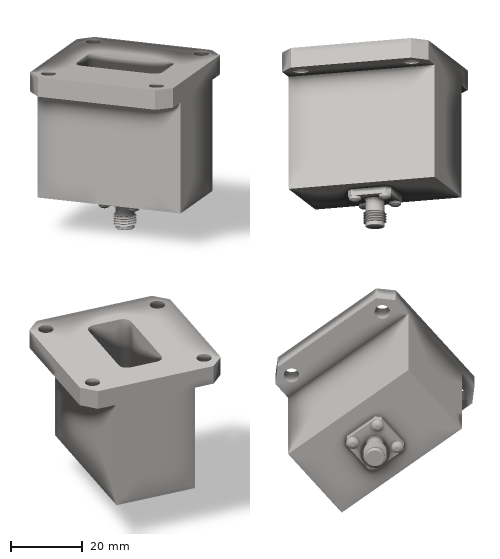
import cadquery as cq

flange_side = 42.9
flange_thickness = 5.67
flange_chamfer = 3.85
bolt_hole_diameter = 4.3
bolt_spacing_x = 32.4
bolt_spacing_y = 34.0

total_height = 47.7
body_depth = 23.95
body_bottom = 9.7
window_length = 25.75
window_width = 12.95
window_corner_radius = 2.55
window_floor = body_bottom + (body_depth - window_width) / 2

connector_side = 12.65
connector_thickness = 1.85
connector_chamfer = 1.3
connector_bottom = body_bottom - connector_thickness
barrel_diameter = 5.35
barrel_tip_chamfer = 0.15
collar_diameter = 5.65
collar_height = 0.35

screw_spacing = 8.85
screw_head_diameter = 3.4
screw_rim_height = 0.65
screw_head_height = 1.3
screw_crown_diameter = 1.3
screw_dome_radius = 2.3

thread_diameter = 6.5
thread_turns = 6
thread_wound_height = 4.25
thread_pitch = thread_wound_height / thread_turns
thread_start = 0.7
thread_bottom = 1.05
thread_top = 4.05
thread_ridge_width = 0.55
thread_root_overlap = 0.05

overlap = 0.25


def chamfered_plate(side, thickness, chamfer, bottom):
    plate = cq.Workplane("XY").workplane(offset=bottom).rect(side, side).extrude(thickness)
    return plate.edges("|Z").chamfer(chamfer)


def make_flange():
    bottom = total_height - flange_thickness
    flange = chamfered_plate(flange_side, flange_thickness, flange_chamfer, bottom)
    return (
        flange.faces(">Z").workplane()
        .rect(bolt_spacing_x, bolt_spacing_y, forConstruction=True)
        .vertices().hole(bolt_hole_diameter)
    )


def make_body():
    height = total_height - flange_thickness - body_bottom
    return cq.Workplane("XY").workplane(offset=body_bottom).rect(flange_side, body_depth).extrude(height)


def make_window():
    window = (
        cq.Workplane("XY").workplane(offset=window_floor)
        .rect(window_length, window_width).extrude(total_height - window_floor)
    )
    return window.edges("|Z").fillet(window_corner_radius)


def make_barrel():
    barrel = cq.Workplane("XY").circle(barrel_diameter / 2).extrude(connector_bottom + overlap)
    barrel = barrel.faces("<Z").chamfer(barrel_tip_chamfer)
    collar = (
        cq.Workplane("XY").workplane(offset=connector_bottom - collar_height)
        .circle(collar_diameter / 2).extrude(collar_height + overlap)
    )
    return barrel.union(collar)


def make_thread():
    root_radius = barrel_diameter / 2 - thread_root_overlap
    path = cq.Wire.makeHelix(
        thread_pitch, thread_wound_height, barrel_diameter / 2, cq.Vector(0, 0, thread_start)
    )
    half_width = thread_ridge_width / 2
    ridge = cq.Workplane("XZ").polyline([
        (root_radius, thread_start - half_width),
        (thread_diameter / 2, thread_start),
        (root_radius, thread_start + half_width),
    ]).close()
    threaded_zone = (
        cq.Workplane("XY").workplane(offset=thread_bottom)
        .circle(thread_diameter / 2 + overlap).extrude(thread_top - thread_bottom)
    )
    return ridge.sweep(path, isFrenet=True).intersect(threaded_zone)


def make_screw_head():
    rim_radius = screw_head_diameter / 2
    rim_bottom = connector_bottom - screw_rim_height
    head_bottom = connector_bottom - screw_head_height
    return (
        cq.Workplane("XZ")
        .moveTo(0, connector_bottom + overlap)
        .lineTo(rim_radius, connector_bottom + overlap)
        .lineTo(rim_radius, rim_bottom)
        .radiusArc((screw_crown_diameter / 2, head_bottom), screw_dome_radius)
        .lineTo(0, head_bottom)
        .close().revolve(360, (0, 0, 0), (0, 1, 0))
    )


result = make_flange().union(make_body()).cut(make_window())
result = result.union(
    chamfered_plate(connector_side, connector_thickness, connector_chamfer, connector_bottom)
)
result = result.union(make_barrel()).union(make_thread())
for x_side in (-1, 1):
    for y_side in (-1, 1):
        place = (x_side * screw_spacing / 2, y_side * screw_spacing / 2, 0)
        result = result.union(make_screw_head().translate(place))